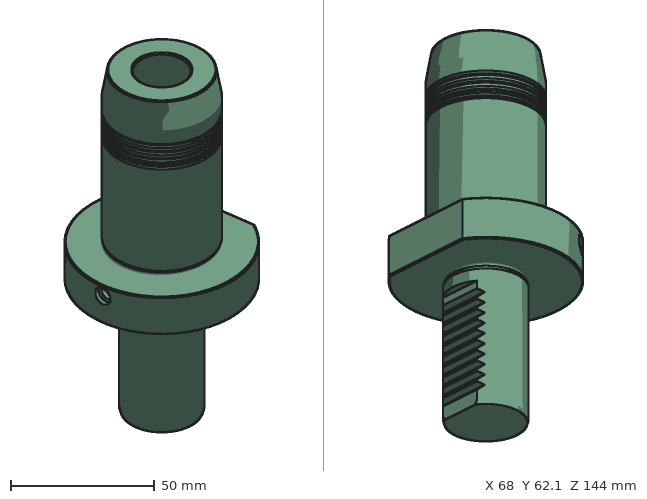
import cadquery as cq
import math

total_height = 144.0
flange_bottom = 55.0
flange_top = 71.0

shank_radius = 15.0
shank_end_relief = 0.5
shank_end_relief_height = 1.6
shank_neck_depth = 0.5
shank_neck_height = 1.0
shank_neck_relief_height = 1.3

flange_radius = 34.0
flange_flat_y = 28.1
flange_chamfer = 0.5

body_radius = 21.0
body_neck_depth = 0.3
body_neck_height = 1.3
body_relief_height = 0.9
nose_start = 132.8
nose_radius = 19.2
nose_chamfer = 0.5

undercut_fillet = 0.7
undercut_face_depth = 0.1
undercut_face_width = 0.9

ring_count = 4
ring_pitch = 3.0
lowest_ring_bottom = 116.2
ring_height = 1.7
ring_depth = 0.5
lowest_ring_floor = 0.5

bore_radius = 10.1
bore_chamfer = 0.6
bore_depth = 83.5
drill_point_radius = 5.6
drill_point_angle = 118.0

rack_flat_y = 12.1
rack_top = 48.1
tooth_count = 10
tooth_pitch = 4.0
first_tooth_z = 7.2
tooth_depth = 1.7
tooth_half_width = 1.6

port_z = 66.5
port_radius = 2.6
port_mouth_radius = 3.3
port_step = port_mouth_radius - port_radius
side_port_y = -20.9
side_port_mouth_end = -23.2
front_port_mouth_end = -32.0


def make_turned_blank():
    """Shank, flange and body as one revolved outline, from the bottom face up to the nose."""
    shank_neck = shank_radius - shank_neck_depth
    shank_relief_top = flange_bottom - shank_neck_height
    lower_floor = flange_bottom + undercut_face_depth
    lower_fillet_edge = shank_neck + undercut_fillet
    body_neck = body_radius - body_neck_depth
    body_relief_bottom = flange_top + body_neck_height
    upper_floor = flange_top - undercut_face_depth
    upper_fillet_edge = body_neck + undercut_fillet
    fillet_sag = undercut_fillet * (1 - math.sqrt(0.5))

    outline = (
        cq.Workplane("XZ")
        .lineTo(shank_radius - shank_end_relief, 0)
        .lineTo(shank_radius, shank_end_relief_height)
        .lineTo(shank_radius, shank_relief_top - shank_neck_relief_height)
        .lineTo(shank_neck, shank_relief_top)
        .lineTo(shank_neck, lower_floor - undercut_fillet)
        .threePointArc(
            (shank_neck + fillet_sag, lower_floor - fillet_sag),
            (lower_fillet_edge, lower_floor),
        )
        .lineTo(lower_fillet_edge + undercut_face_width, flange_bottom)
        .lineTo(flange_radius - flange_chamfer, flange_bottom)
        .lineTo(flange_radius, flange_bottom + flange_chamfer)
        .lineTo(flange_radius, flange_top - flange_chamfer)
        .lineTo(flange_radius - flange_chamfer, flange_top)
        .lineTo(upper_fillet_edge + undercut_face_width, flange_top)
        .lineTo(upper_fillet_edge, upper_floor)
        .threePointArc(
            (body_neck + fillet_sag, upper_floor + fillet_sag),
            (body_neck, upper_floor + undercut_fillet),
        )
        .lineTo(body_neck, body_relief_bottom)
        .lineTo(body_radius, body_relief_bottom + body_relief_height)
    )
    for index in range(ring_count):
        floor_height = lowest_ring_floor if index == 0 else 0
        bottom = lowest_ring_bottom + index * ring_pitch
        floor_bottom = bottom + ring_height / 2
        floor_top = floor_bottom + floor_height
        outline = outline.lineTo(body_radius, bottom).lineTo(body_radius - ring_depth, floor_bottom)
        if floor_height > 0:
            outline = outline.lineTo(body_radius - ring_depth, floor_top)
        outline = outline.lineTo(body_radius, floor_top + ring_height / 2)
    outline = (
        outline.lineTo(body_radius, nose_start)
        .lineTo(nose_radius, total_height - nose_chamfer)
        .lineTo(nose_radius - nose_chamfer, total_height)
        .lineTo(0, total_height)
        .close()
    )
    return outline.revolve(360, (0, 0, 0), (0, 1, 0))


def cut_flange_flat(blank):
    """Flat on the +Y side of the flange, its long edges chamfered like the rim."""
    span = 2 * flange_radius
    beyond_flat = cq.Workplane("XY").box(span, span, total_height, centered=(True, False, False))
    flattened = blank.cut(beyond_flat.translate((0, flange_flat_y, 0)))
    return flattened.faces(">Y").edges("|X").chamfer(flange_chamfer)


def make_rack_cutter():
    """Everything outside the rack flat, plus the V-shaped tooth gaps."""
    width = 4 * shank_radius
    cutter = cq.Workplane("XY").box(width, width, rack_top, centered=(True, False, False))
    cutter = cutter.translate((0, rack_flat_y, 0))
    for index in range(tooth_count):
        z = first_tooth_z + index * tooth_pitch
        gap = (
            cq.Workplane("YZ")
            .moveTo(rack_flat_y, z - tooth_half_width)
            .lineTo(rack_flat_y - tooth_depth, z)
            .lineTo(rack_flat_y, z + tooth_half_width)
            .close()
            .extrude(width / 2, both=True)
        )
        cutter = cutter.union(gap)
    return cutter


def make_bore():
    """Flat-bottomed bore with a chamfered mouth and a conical drill point in its floor."""
    floor = total_height - bore_depth
    point_depth = drill_point_radius / math.tan(math.radians(drill_point_angle / 2))
    profile = (
        cq.Workplane("XZ")
        .moveTo(0, floor - point_depth)
        .lineTo(drill_point_radius, floor)
        .lineTo(bore_radius, floor)
        .lineTo(bore_radius, total_height - bore_chamfer)
        .lineTo(bore_radius + bore_chamfer, total_height)
        .lineTo(0, total_height)
        .close()
    )
    return profile.revolve(360, (0, 0, 0), (0, 1, 0))


def make_port(mouth_depth, length):
    """Stepped hole along +Z from the origin: wide mouth, conical step, narrow run."""
    profile = (
        cq.Workplane("XZ")
        .lineTo(port_mouth_radius, 0)
        .lineTo(port_mouth_radius, mouth_depth)
        .lineTo(port_radius, mouth_depth + port_step)
        .lineTo(port_radius, length)
        .lineTo(0, length)
        .close()
    )
    return profile.revolve(360, (0, 0, 0), (0, 1, 0))


def make_ports():
    """The front port runs along Y into the bore; the side port runs along X into the front port."""
    front = make_port(front_port_mouth_end + flange_radius, flange_radius)
    front = front.rotate((0, 0, 0), (1, 0, 0), -90).translate((0, -flange_radius, port_z))
    side = make_port(side_port_mouth_end + flange_radius, flange_radius)
    side = side.rotate((0, 0, 0), (0, 1, 0), 90).translate((-flange_radius, side_port_y, port_z))
    return front.union(side)


result = (
    cut_flange_flat(make_turned_blank())
    .cut(make_rack_cutter())
    .cut(make_bore())
    .cut(make_ports())
)